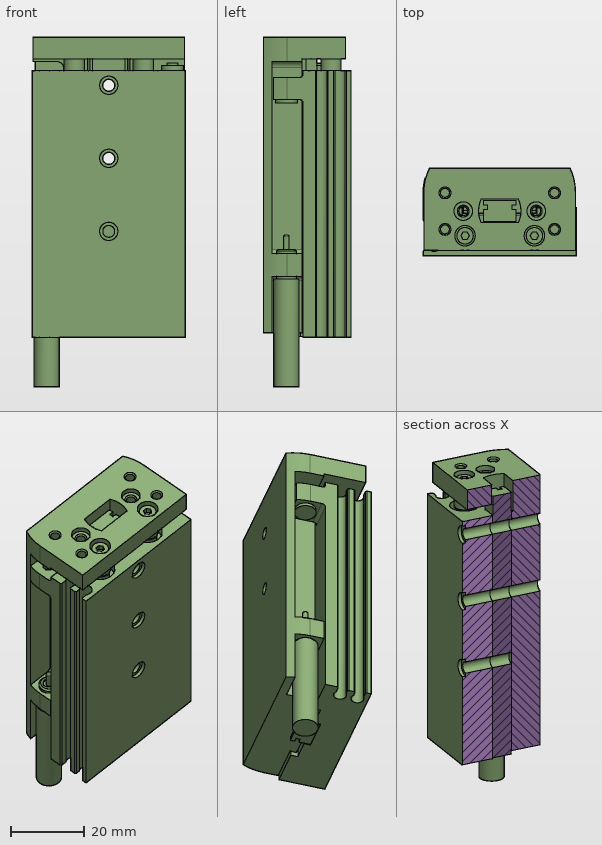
import cadquery as cq

HOUSING_WIDTH = 42.0
HOUSING_HEIGHT = 73.0
TOTAL_HEIGHT = 95.8
TABLE_WIDTH = 41.5
TABLE_BACK_Y = 24.0
TABLE_TOP_Z = HOUSING_HEIGHT + 9.2
FLANK_RADIUS = 15.0
FLANK_START_Y = 17.5

HOUSING_BACK_Y = 13.2
GUIDE_CHANNEL_WIDTH = 20.4
GUIDE_CHANNEL_FLOOR_Y = 11.2
MOUNT_PITCH = 20.0
MOUNT_TOP_OFFSET = 4.0
MOUNT_HOLE_DIAMETER = 3.24
MOUNT_COUNTERBORE_DIAMETER = 5.0
MOUNT_COUNTERBORE_DEPTH = 1.0

GROOVE_DIAMETER = 3.5
GROOVE_INSET = 3.05
GROOVE_Y = (3.0, 8.0)
GROOVE_MOUTH = 2.8
GROOVE_CHAMFER = 0.35
FIN_SETBACK = 0.5

LUG_TOP_Z = HOUSING_HEIGHT - 1.85
LUG_BOTTOM_Z = HOUSING_HEIGHT - 7.9
LUG_BACK_Y = 21.3
LUG_INNER_X = -12.9
LUG_FILLET = 1.0
LUG_HOLE_DIAMETER = 3.24
LUG_HOLE_DEPTH = 3.0
STOP_PAD_DIAMETER = 6.0
STOP_PAD_HEIGHT = 0.95
PLUG_DIAMETER = 6.0
PLUG_TIP_DIAMETER = 3.0
PLUG_X = 17.45
PLUG_Y = 8.5
PLUG_HEIGHT = 1.4
PLUG_TIP_HEIGHT = 0.7

END_PLATE_FRONT_Y = 1.5
END_PLATE_THICKNESS = 6.0
END_PLATE_LIP_THICKNESS = 6.75
TABLE_BOTTOM_Z = 1.2
TABLE_PLATE_FRONT_Y = 21.6
TABLE_CORE_FRONT_Y = 13.5
TABLE_CORE_LEFT_X = -12.4
CORE_FILLET = 1.6
GUIDE_BLOCK_WIDTH = 20.0
GUIDE_BLOCK_FRONT_Y = 11.65
GUIDE_NECK_FRONT_Y = 12.4
SHOCK_BLOCK_BOTTOM_Z = 16.7
SHOCK_BLOCK_TOP_Z = 22.9
SHOCK_BLOCK_FILLET = 1.2

CORNER_HOLE_X = 15.0
CORNER_HOLE_Y = (7.25, 17.25)
CORNER_HOLE_DEPTH = 5.0
BOLT_HOLE_X = 10.0
BOLT_HOLE_Y = 12.25
THREAD_HOLE_DIAMETER = 2.46
THREAD_LEAD_IN_DIAMETER = 3.24
BOLT_COUNTERBORE_DIAMETER = 5.1
BOLT_COUNTERBORE_DEPTH = 1.5
WINDOW_HALF_WIDTH = 5.8
WINDOW_END_HALF_WIDTH = 5.1
WINDOW_FRONT_Y = 9.1
WINDOW_BACK_Y = 15.5

RAIL_WIDTH = 9.0
RAIL_FRONT_Y = 9.35
RAIL_BACK_Y = 15.15
RAIL_BOTTOM_Z = 0.2
RAIL_TOP_Z = TABLE_TOP_Z - 3.5
RAIL_NOTCH_DEPTH = 1.2
RAIL_NOTCH_Y = (12.7, 13.9)

ROD_X = 9.5
ROD_Y = 5.5
ROD_COLLAR_DIAMETER = 5.6
ROD_SHAFT_DIAMETER = 5.0
ROD_COLLAR_BOTTOM_Z = HOUSING_HEIGHT - 0.3
ROD_BOTTOM_Z = 20.0
ROD_RECESS_DIAMETER = 8.0
ROD_RECESS_DEPTH = 3.0
SCREW_NECK_DIAMETER = 3.24
SCREW_HEAD_DIAMETER = 4.5
SCREW_HEAD_HEIGHT = 3.0
SCREW_COUNTERBORE_DIAMETER = 5.6
SCREW_COUNTERBORE_DEPTH = 4.0
HEX_CORNER_DIAMETER = 2.3
HEX_DEPTH = 1.5

SHOCK_X = -17.0
SHOCK_Y = 17.7
SHOCK_DIAMETER = 7.0
SHOCK_BOTTOM_Z = TABLE_TOP_Z - TOTAL_HEIGHT
SHOCK_SHOULDER_Z = 16.0
SHOCK_NECK_DIAMETER = 5.5
SHOCK_NOSE_HEIGHT = 1.2
SHOCK_NOSE_CHAMFER = 0.5
SHOCK_NOSE_RECESS_DIAMETER = 3.24
SHOCK_NOSE_RECESS_DEPTH = 0.6
SHOCK_PIN_DIAMETER = 1.5
SHOCK_PIN_TOP_Z = 28.0
SHOCK_PIN_FILLET = 0.4


def block(x_range, y_range, z_range):
    """Box given by its limits along each axis."""
    (x0, x1), (y0, y1), (z0, z1) = x_range, y_range, z_range
    return cq.Workplane("XY").box(x1 - x0, y1 - y0, z1 - z0, centered=False).translate((x0, y0, z0))


def post(points, diameter, z_bottom, z_top):
    """Upright cylinders of one diameter at the given XY points."""
    plane = cq.Workplane("XY").workplane(offset=z_bottom)
    return plane.pushPoints(points).circle(diameter / 2).extrude(z_top - z_bottom)


def flanked_prism(width, front_y, z_bottom, z_top):
    """Prism whose flanks are straight at the front and curve inwards to the back of the table."""
    half = width / 2
    rise = TABLE_BACK_Y - FLANK_START_Y
    back_half = half - FLANK_RADIUS + (FLANK_RADIUS**2 - rise**2) ** 0.5
    return (
        cq.Workplane("XY")
        .workplane(offset=z_bottom)
        .moveTo(-half, front_y)
        .lineTo(half, front_y)
        .lineTo(half, FLANK_START_Y)
        .radiusArc((back_half, TABLE_BACK_Y), -FLANK_RADIUS)
        .lineTo(-back_half, TABLE_BACK_Y)
        .radiusArc((-half, FLANK_START_Y), -FLANK_RADIUS)
        .close()
        .extrude(z_top - z_bottom)
    )


def front_hole(z, diameter, depth):
    """Hole cutter on the centre plane, running in +Y from the mounting face."""
    return cq.Workplane("XZ").center(0, z).circle(diameter / 2).extrude(-depth)


def mouth_chamfer(wall_x, wall_y, side):
    """Wedge that breaks the edge where a groove wall meets a -X face; side is its Y direction."""
    return (
        cq.Workplane("XY")
        .moveTo(wall_x, wall_y)
        .lineTo(wall_x + GROOVE_CHAMFER, wall_y)
        .lineTo(wall_x, wall_y + side * GROOVE_CHAMFER)
        .close()
        .extrude(HOUSING_HEIGHT)
    )


def sensor_groove(centre_y, front_wall_x, back_wall_x):
    """Round groove with a narrower mouth, chamfered where each of its walls starts."""
    left = -HOUSING_WIDTH / 2
    centre_x = left + GROOVE_INSET
    front_y = centre_y - GROOVE_MOUTH / 2
    back_y = centre_y + GROOVE_MOUTH / 2
    bore = post([(centre_x, centre_y)], GROOVE_DIAMETER, 0, HOUSING_HEIGHT)
    mouth = block((left, centre_x), (front_y, back_y), (0, HOUSING_HEIGHT))
    groove = bore.union(mouth)
    groove = groove.union(mouth_chamfer(front_wall_x, front_y, -1))
    return groove.union(mouth_chamfer(back_wall_x, back_y, 1))


def stop_lug():
    """Lug on the back of the housing, its flank curved like the table's."""
    height = (LUG_BOTTOM_Z, LUG_TOP_Z)
    envelope = block((-HOUSING_WIDTH / 2, LUG_INNER_X), (HOUSING_BACK_Y, LUG_BACK_Y), height)
    return flanked_prism(HOUSING_WIDTH, HOUSING_BACK_Y, *height).intersect(envelope)


def make_rail():
    half = RAIL_WIDTH / 2
    height = (RAIL_BOTTOM_Z, RAIL_TOP_Z)
    rail = block((-half, half), (RAIL_FRONT_Y, RAIL_BACK_Y), height)
    for edge in (-half, half):
        rail = rail.cut(block((edge - RAIL_NOTCH_DEPTH, edge + RAIL_NOTCH_DEPTH), RAIL_NOTCH_Y, height))
    return rail


def make_housing():
    half = HOUSING_WIDTH / 2
    full_height = (0, HOUSING_HEIGHT)
    housing = block((-half, half), (0, HOUSING_BACK_Y), full_height)

    housing = housing.union(stop_lug())
    for z in (LUG_BOTTOM_Z, LUG_TOP_Z):
        root = cq.selectors.NearestToPointSelector(((LUG_INNER_X - half) / 2, HOUSING_BACK_Y, z))
        housing = housing.edges(root).fillet(LUG_FILLET)
    stop_point = [(SHOCK_X, SHOCK_Y)]
    housing = housing.union(post(stop_point, STOP_PAD_DIAMETER, LUG_BOTTOM_Z - STOP_PAD_HEIGHT, LUG_BOTTOM_Z))
    housing = housing.cut(post(stop_point, LUG_HOLE_DIAMETER, LUG_TOP_Z - LUG_HOLE_DEPTH, LUG_TOP_Z))

    plug_shoulder_z = HOUSING_HEIGHT + PLUG_HEIGHT
    plug_point = [(PLUG_X, PLUG_Y)]
    housing = housing.union(post(plug_point, PLUG_DIAMETER, HOUSING_HEIGHT, plug_shoulder_z))
    housing = housing.union(
        post(plug_point, PLUG_TIP_DIAMETER, plug_shoulder_z, plug_shoulder_z + PLUG_TIP_HEIGHT)
    )

    channel_half = GUIDE_CHANNEL_WIDTH / 2
    rail_half = RAIL_WIDTH / 2
    housing = housing.cut(
        block((-channel_half, channel_half), (GUIDE_CHANNEL_FLOOR_Y, HOUSING_BACK_Y), full_height)
    )
    housing = housing.cut(
        block((-rail_half, rail_half), (RAIL_FRONT_Y, GUIDE_CHANNEL_FLOOR_Y), full_height)
    )

    fin_x = -half + FIN_SETBACK
    housing = housing.cut(block((-half, fin_x), GROOVE_Y, full_height))
    housing = housing.cut(sensor_groove(GROOVE_Y[0], -half, fin_x))
    housing = housing.cut(sensor_groove(GROOVE_Y[1], fin_x, -half))

    rod_points = [(-ROD_X, ROD_Y), (ROD_X, ROD_Y)]
    recess_floor_z = HOUSING_HEIGHT - ROD_RECESS_DEPTH
    housing = housing.cut(post(rod_points, ROD_RECESS_DIAMETER, recess_floor_z, HOUSING_HEIGHT))
    housing = housing.cut(post(rod_points, ROD_SHAFT_DIAMETER, ROD_BOTTOM_Z, HOUSING_HEIGHT))

    for z in MOUNT_HOLE_Z:
        housing = housing.cut(front_hole(z, MOUNT_HOLE_DIAMETER, HOUSING_BACK_Y))
        housing = housing.cut(front_hole(z, MOUNT_COUNTERBORE_DIAMETER, MOUNT_COUNTERBORE_DEPTH))
    return housing


def window():
    """Cutter for the bulged window through the end plate and the neck under it."""
    middle_y = (WINDOW_FRONT_Y + WINDOW_BACK_Y) / 2
    return (
        cq.Workplane("XY")
        .workplane(offset=HOUSING_HEIGHT)
        .moveTo(-WINDOW_END_HALF_WIDTH, WINDOW_FRONT_Y)
        .lineTo(WINDOW_END_HALF_WIDTH, WINDOW_FRONT_Y)
        .threePointArc((WINDOW_HALF_WIDTH, middle_y), (WINDOW_END_HALF_WIDTH, WINDOW_BACK_Y))
        .lineTo(-WINDOW_END_HALF_WIDTH, WINDOW_BACK_Y)
        .threePointArc((-WINDOW_HALF_WIDTH, middle_y), (-WINDOW_END_HALF_WIDTH, WINDOW_FRONT_Y))
        .close()
        .extrude(TABLE_TOP_Z - HOUSING_HEIGHT)
    )


def side_pocket(z_bottom, z_top, rounded):
    """Cutter for an open pocket on the -X side; each listed edge is rounded by its radius."""
    pocket = block(
        (-HOUSING_WIDTH / 2, TABLE_CORE_LEFT_X),
        (TABLE_CORE_FRONT_Y, TABLE_PLATE_FRONT_Y),
        (z_bottom, z_top),
    )
    for edge, radius in rounded:
        pocket = pocket.edges(edge).fillet(radius)
    return pocket


def thread_lead_in(points, z_top):
    """Conical 45 degree cutters that open the threaded holes at the given level."""
    rim_radius = THREAD_LEAD_IN_DIAMETER / 2
    hole_radius = THREAD_HOLE_DIAMETER / 2
    cone = cq.Solid.makeCone(hole_radius, rim_radius, rim_radius - hole_radius)
    plane = cq.Workplane("XY").workplane(offset=z_top - rim_radius + hole_radius)
    return plane.pushPoints(points).eachpoint(lambda place: cone.moved(place), combine=False)


def make_table(rail):
    plate_bottom_z = TABLE_TOP_Z - END_PLATE_THICKNESS
    table = flanked_prism(TABLE_WIDTH, TABLE_CORE_FRONT_Y, TABLE_BOTTOM_Z, TABLE_TOP_Z)
    end_plate = flanked_prism(TABLE_WIDTH, END_PLATE_FRONT_Y, plate_bottom_z, TABLE_TOP_Z)
    table = table.union(end_plate)

    lip_bottom_z = TABLE_TOP_Z - END_PLATE_LIP_THICKNESS
    table = table.cut(
        side_pocket(
            SHOCK_BLOCK_TOP_Z, lip_bottom_z, [(">X and >Z", CORE_FILLET), (">X and <Z", SHOCK_BLOCK_FILLET)]
        )
    )
    table = table.cut(
        side_pocket(TABLE_BOTTOM_Z, SHOCK_BLOCK_BOTTOM_Z, [(">X and >Z", SHOCK_BLOCK_FILLET)])
    )
    table = table.cut(
        post([(SHOCK_X, SHOCK_Y)], SHOCK_NECK_DIAMETER, SHOCK_BLOCK_BOTTOM_Z, SHOCK_BLOCK_TOP_Z)
    )

    guide_half = GUIDE_BLOCK_WIDTH / 2
    table = table.union(
        block(
            (-guide_half, guide_half),
            (GUIDE_BLOCK_FRONT_Y, TABLE_CORE_FRONT_Y),
            (TABLE_BOTTOM_Z, HOUSING_HEIGHT),
        )
    )
    table = table.union(
        block(
            (-guide_half, guide_half),
            (GUIDE_NECK_FRONT_Y, TABLE_CORE_FRONT_Y),
            (HOUSING_HEIGHT, plate_bottom_z),
        )
    )
    table = table.cut(window()).cut(rail)

    corners = [(x, y) for x in (-CORNER_HOLE_X, CORNER_HOLE_X) for y in CORNER_HOLE_Y]
    bolts = [(-BOLT_HOLE_X, BOLT_HOLE_Y), (BOLT_HOLE_X, BOLT_HOLE_Y)]
    screws = [(-ROD_X, ROD_Y), (ROD_X, ROD_Y)]
    for points, diameter, depth in (
        (corners, THREAD_HOLE_DIAMETER, CORNER_HOLE_DEPTH),
        (bolts, THREAD_HOLE_DIAMETER, END_PLATE_THICKNESS),
        (bolts, BOLT_COUNTERBORE_DIAMETER, BOLT_COUNTERBORE_DEPTH),
        (screws, SCREW_NECK_DIAMETER, END_PLATE_THICKNESS),
        (screws, SCREW_COUNTERBORE_DIAMETER, SCREW_COUNTERBORE_DEPTH),
    ):
        table = table.cut(post(points, diameter, TABLE_TOP_Z - depth, TABLE_TOP_Z))

    table = table.cut(thread_lead_in(corners, TABLE_TOP_Z))
    table = table.cut(thread_lead_in(bolts, TABLE_TOP_Z - BOLT_COUNTERBORE_DEPTH))

    for z in MOUNT_HOLE_Z[:2]:
        table = table.cut(front_hole(z, MOUNT_HOLE_DIAMETER, TABLE_BACK_Y))
    return table


def make_rod(x):
    point = [(x, ROD_Y)]
    collar_top_z = TABLE_TOP_Z - END_PLATE_THICKNESS
    head_bottom_z = TABLE_TOP_Z - SCREW_COUNTERBORE_DEPTH
    head_top_z = head_bottom_z + SCREW_HEAD_HEIGHT
    rod = post(point, ROD_SHAFT_DIAMETER, ROD_BOTTOM_Z, ROD_COLLAR_BOTTOM_Z)
    rod = rod.union(post(point, ROD_COLLAR_DIAMETER, ROD_COLLAR_BOTTOM_Z, collar_top_z))
    rod = rod.union(post(point, SCREW_NECK_DIAMETER, collar_top_z, head_bottom_z))
    rod = rod.union(post(point, SCREW_HEAD_DIAMETER, head_bottom_z, head_top_z))
    socket = (
        cq.Workplane("XY")
        .workplane(offset=head_top_z - HEX_DEPTH)
        .pushPoints(point)
        .polygon(6, HEX_CORNER_DIAMETER)
        .extrude(HEX_DEPTH)
    )
    return rod.cut(socket)


def make_shock_absorber():
    point = [(SHOCK_X, SHOCK_Y)]
    nose_top_z = SHOCK_BLOCK_TOP_Z + SHOCK_NOSE_HEIGHT
    recess_floor_z = nose_top_z - SHOCK_NOSE_RECESS_DEPTH
    body = post(point, SHOCK_DIAMETER, SHOCK_BOTTOM_Z, SHOCK_SHOULDER_Z)
    neck = post(point, SHOCK_NECK_DIAMETER, SHOCK_SHOULDER_Z, nose_top_z)
    neck = neck.faces(">Z").chamfer(SHOCK_NOSE_CHAMFER)
    neck = neck.cut(post(point, SHOCK_NOSE_RECESS_DIAMETER, recess_floor_z, nose_top_z))
    pin = post(point, SHOCK_PIN_DIAMETER, recess_floor_z, SHOCK_PIN_TOP_Z)
    pin = pin.faces(">Z").edges().fillet(SHOCK_PIN_FILLET)
    return body.union(neck).union(pin)


MOUNT_HOLE_Z = [HOUSING_HEIGHT - MOUNT_TOP_OFFSET - i * MOUNT_PITCH for i in range(3)]

rail_blank = make_rail()
housing = make_housing()
table = make_table(rail_blank)
rail = rail_blank
for hole_z in MOUNT_HOLE_Z:
    rail = rail.cut(front_hole(hole_z, MOUNT_HOLE_DIAMETER, RAIL_BACK_Y))
rods = [make_rod(x) for x in (-ROD_X, ROD_X)]
shock_absorber = make_shock_absorber()

result = cq.Compound.makeCompound(
    [housing.val(), table.val(), rail.val(), shock_absorber.val(), *[rod.val() for rod in rods]]
)